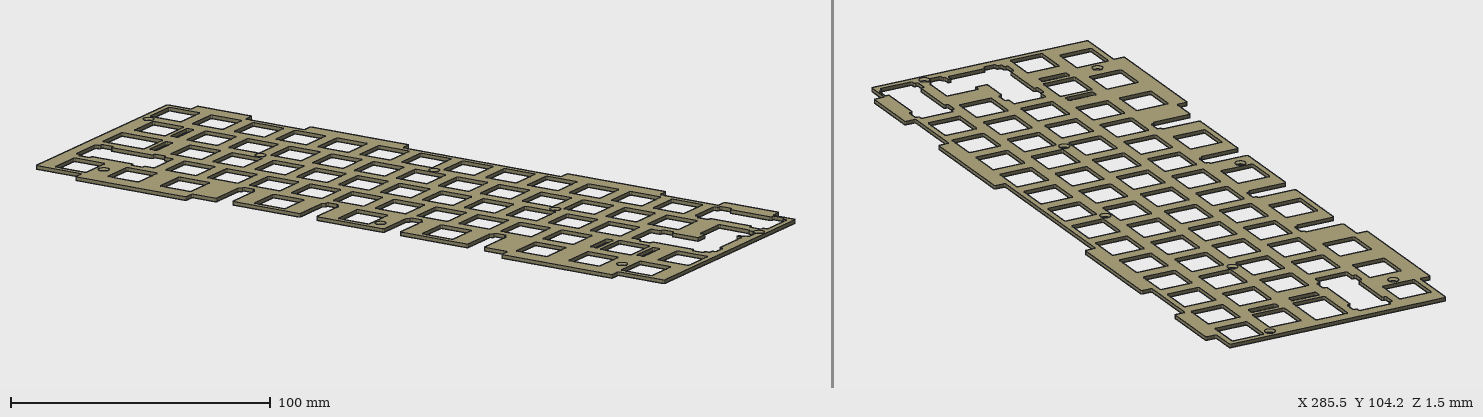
import cadquery as cq

length = 285.5
depth = 104.2
thickness = 1.5
tab_height = 4.5
corner_radius = 0.5
body_depth = depth - 2 * tab_height
back_tab_spans = [(36.0, 80.8), (107.5, 132.2)]
front_tab_spans = [(71.7, 122.0)]
back_tab_shift = 0.23

key_unit = 19.05
columns_in_grid = 15
middle_column = columns_in_grid / 2
NUMBER, TOP, HOME, SHIFT, SPACE = range(5)

switch_size = 14.0
switch_columns = {
    NUMBER: [i + 0.5 for i in range(14)] + [14, 14.5],
    TOP: [0.75] + [i + 2 for i in range(12)] + [14.25],
    HOME: [0.625, 0.875] + [i + 2.25 for i in range(12)] + [13.875, 14.375],
    SHIFT: [0.625, 1.125, 1.75] + [i + 2.75 for i in range(10)] + [13.125, 14.5],
    SPACE: [0.75, 2, 3.25, 5.5, 7.5, 9.5, 11.75, 13, 14.25],
}

stabilizer_offset = 12.0
stabilizer_width = 7.5
stabilizer_tip_width = 5.0
stabilizer_tip_height = 1.57
wide_keys = [(14, NUMBER), (13.875, HOME), (1.125, SHIFT)]
tall_key = (14.375, (TOP + HOME) / 2)
space_slot_offsets = [-3, -1, 1, 3]

side_slot_offset = 10.5
side_slot_width = 3.0
side_slot_height = 12.0
side_slots = [(0.75, TOP, 1), (0.875, HOME, 1), (13.125, SHIFT, -1), (13.125, SHIFT, 1)]

screw_hole_diameter = 2.5
countersink_diameter = 4.3
countersink_angle = 90
screw_points = [
    (-138.8, 27.7),
    (-118.0, -38.0),
    (-76.8, 10.0),
    (-9.7, 28.8),
    (10.0, -41.5),
    (57.0, 10.0),
    (117.6, -38.0),
    (139.5, 26.0),
]


def key_point(column, row):
    """Position on the plate of a point of the key grid, which is centred on the plate."""
    return ((column - middle_column) * key_unit, (HOME - row) * key_unit)


def block(x_size, y_size):
    """Block as thick as the plate, centred on the Z axis."""
    return cq.Workplane("XY").rect(x_size, y_size).extrude(thickness)


def box_between(x_min, x_max, y_min, y_max):
    """Block as thick as the plate, between the given sides."""
    centre = ((x_min + x_max) / 2, (y_min + y_max) / 2, 0)
    return block(x_max - x_min, y_max - y_min).translate(centre)


def round_corners(body):
    """Round every corner of a flat outline."""
    return body.edges("|Z").fillet(corner_radius)


def moved(body, x, y):
    return body.translate((x, y, 0))


def stabilizer_slot():
    """Upright slot with tips, corners still sharp."""
    slot = block(stabilizer_width, switch_size)
    return slot.union(block(stabilizer_tip_width, switch_size + 2 * stabilizer_tip_height))


def make_outline():
    """Plate with its tabs and the open space bar slots."""
    plate = block(length, body_depth)
    for side in (-1, 1):
        for inner, outer in back_tab_spans:
            x_min, x_max = sorted((side * inner, side * outer))
            tab = box_between(x_min, x_max, 0, depth / 2)
            plate = plate.union(moved(tab, back_tab_shift, 0))
        for inner, outer in front_tab_spans:
            x_min, x_max = sorted((side * inner, side * outer))
            plate = plate.union(box_between(x_min, x_max, -depth / 2, 0))
    for offset in space_slot_offsets:
        x, y = key_point(middle_column + offset, SPACE)
        mouth = box_between(x - stabilizer_width / 2, x + stabilizer_width / 2, -depth / 2, y)
        plate = plate.cut(moved(stabilizer_slot(), x, y)).cut(mouth)
    return round_corners(plate)


def switch_cutters():
    switch = round_corners(block(switch_size, switch_size))
    points = [key_point(column, row) for row, columns in switch_columns.items() for column in columns]
    points.append(key_point(*tall_key))
    return [moved(switch, x, y) for x, y in points]


def stabilizer_cutters():
    upright = round_corners(stabilizer_slot())
    sideways = upright.rotate((0, 0, 0), (0, 0, 1), 90)
    cutters = []
    for offset in (-stabilizer_offset, stabilizer_offset):
        for key in wide_keys:
            x, y = key_point(*key)
            cutters.append(moved(upright, x + offset, y))
        x, y = key_point(*tall_key)
        cutters.append(moved(sideways, x, y + offset))
    return cutters


def side_slot_cutters():
    slot = round_corners(block(side_slot_width, side_slot_height))
    cutters = []
    for column, row, side in side_slots:
        x, y = key_point(column, row)
        cutters.append(moved(slot, x + side * side_slot_offset, y))
    return cutters


def drill_screw_holes(plate):
    top = plate.faces(">Z").workplane(origin=(0, 0, 0))
    return top.pushPoints(screw_points).cskHole(
        screw_hole_diameter, countersink_diameter, countersink_angle
    )


openings = switch_cutters() + stabilizer_cutters() + side_slot_cutters()
plate = make_outline().val().cut(*[opening.val() for opening in openings])
result = drill_screw_holes(cq.Workplane(plate)).solids()